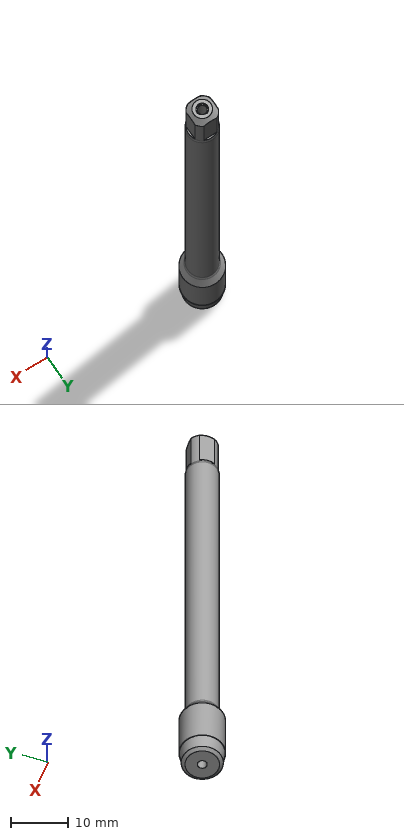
import cadquery as cq
import math

total_length = 90.0
bore_diameter = 1.7

tip_height = 3.15
tip_upper_diameter = 8.0
tip_lower_diameter = 7.4
tip_end_diameter = 6.0
tip_end_height = 0.45

head_diameter = 8.2
head_top = 12.15
stem_diameter = 6.0
shoulder_top = 13.95
shoulder_fillet = 1.2
stem_top = 81.2
drive_diameter = 5.8
drive_chamfer_height = 1.1
drive_end_diameter = 3.6
drive_across_flats = 5.0
flats_bottom = 82.0
counterbore_diameter = 2.2
counterbore_depth = 0.5
stem_chamfer_height = 0.5


def revolve_profile(points):
    """Turn a closed (radius, height) outline around the Z axis."""
    return cq.Workplane("XZ").polyline(points).close().revolve(360, (0, 0, 0), (0, 1, 0))


def cut_bore(body):
    """Drill the central bore through the full length."""
    drill = cq.Workplane("XY").circle(bore_diameter / 2).extrude(total_length)
    return body.cut(drill)


def cut_drive_flats(body):
    """Mill four flats around the top end to leave a square with rounded corners."""
    flats_height = total_length - flats_bottom
    square = cq.Workplane("XY").rect(drive_across_flats, drive_across_flats).extrude(flats_height)
    waste = cq.Workplane("XY").circle(stem_diameter).extrude(flats_height).cut(square)
    return body.cut(waste.translate((0, 0, flats_bottom)))


def cut_counterbore(body):
    """Widen the mouth of the bore at the drive end."""
    bottom = cq.Workplane("XY").workplane(offset=total_length - counterbore_depth)
    return body.cut(bottom.circle(counterbore_diameter / 2).extrude(counterbore_depth))


def make_shank():
    """Head, filleted conical shoulder, stem and square drive in one piece."""
    head_radius = head_diameter / 2
    stem_radius = stem_diameter / 2
    drive_radius = drive_diameter / 2

    cone_angle = math.atan2(head_radius - stem_radius, shoulder_top - head_top)
    tangent_length = shoulder_fillet * math.tan(cone_angle / 2)
    cone_end = (
        stem_radius + tangent_length * math.sin(cone_angle),
        shoulder_top - tangent_length * math.cos(cone_angle),
    )
    stem_start = (stem_radius, shoulder_top + tangent_length)

    shank = (
        cq.Workplane("XZ")
        .moveTo(0, tip_height)
        .lineTo(head_radius, tip_height)
        .lineTo(head_radius, head_top)
        .lineTo(*cone_end)
        .radiusArc(stem_start, shoulder_fillet)
        .lineTo(stem_radius, stem_top)
        .lineTo(drive_radius, stem_top + stem_chamfer_height)
        .lineTo(drive_radius, total_length - drive_chamfer_height)
        .lineTo(drive_end_diameter / 2, total_length)
        .lineTo(0, total_length)
        .close()
        .revolve(360, (0, 0, 0), (0, 1, 0))
    )
    shank = cut_drive_flats(shank)
    shank = cut_counterbore(shank)
    return cut_bore(shank)


def make_tip():
    """Tapered ring with a chamfered lower end, seated against the head."""
    tip = revolve_profile([
        (0, 0),
        (tip_end_diameter / 2, 0),
        (tip_lower_diameter / 2, tip_end_height),
        (tip_upper_diameter / 2, tip_height),
        (0, tip_height),
    ])
    return cut_bore(tip)


shank = make_shank()
tip = make_tip()

result = cq.Compound.makeCompound([shank.val(), tip.val()])